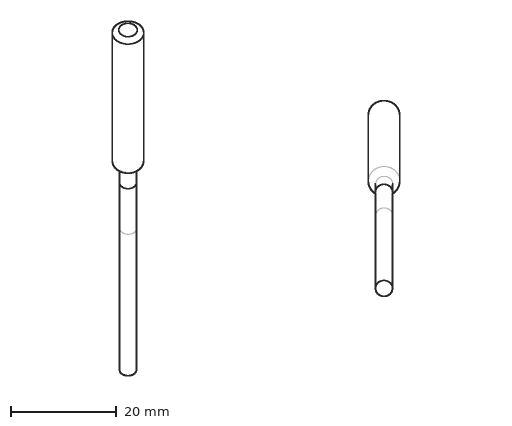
import cadquery as cq
import math

overall_length = 94.0
usable_length = 39.5
flute_length = 52.0

drill_diameter = 3.24
point_angle = 150.0

shank_diameter = 6.0
shank_length = 36.0
shoulder_height = 1.55
end_flat_diameter = 3.5
end_chamfer_angle = 30.0

drill_radius = drill_diameter / 2
shank_radius = shank_diameter / 2
end_flat_radius = end_flat_diameter / 2

point_height = drill_radius / math.tan(math.radians(point_angle / 2))
shank_bottom = overall_length - shank_length
shoulder_bottom = shank_bottom - shoulder_height
end_chamfer_height = (shank_radius - end_flat_radius) * math.tan(math.radians(end_chamfer_angle))


def revolve_profile(profile):
    """Turn a half profile (radius, height) about Z, keeping the rim between flush faces."""
    return profile.close().revolve(360, (0, 0), (0, 1), clean=False)


def make_cutting_part():
    """Conical point and plain cylinder, with a rim where the usable drilling depth ends."""
    profile = (
        cq.Workplane("XZ")
        .lineTo(drill_radius, point_height)
        .lineTo(drill_radius, usable_length)
        .lineTo(drill_radius, flute_length)
        .lineTo(0, flute_length)
    )
    return revolve_profile(profile)


def make_shank():
    """Neck flush with the cutting part, S-curved shoulder and chamfered clamping shank."""
    along_axis = (0, 1)
    profile = (
        cq.Workplane("XZ")
        .moveTo(0, flute_length)
        .lineTo(drill_radius, flute_length)
        .lineTo(drill_radius, shoulder_bottom)
        .spline([(shank_radius, shank_bottom)], tangents=[along_axis, along_axis], includeCurrent=True)
        .lineTo(shank_radius, overall_length - end_chamfer_height)
        .lineTo(end_flat_radius, overall_length)
        .lineTo(0, overall_length)
    )
    return revolve_profile(profile)


cutting_part = make_cutting_part()
shank = make_shank()

result = cq.Compound.makeCompound([cutting_part.val(), shank.val()])